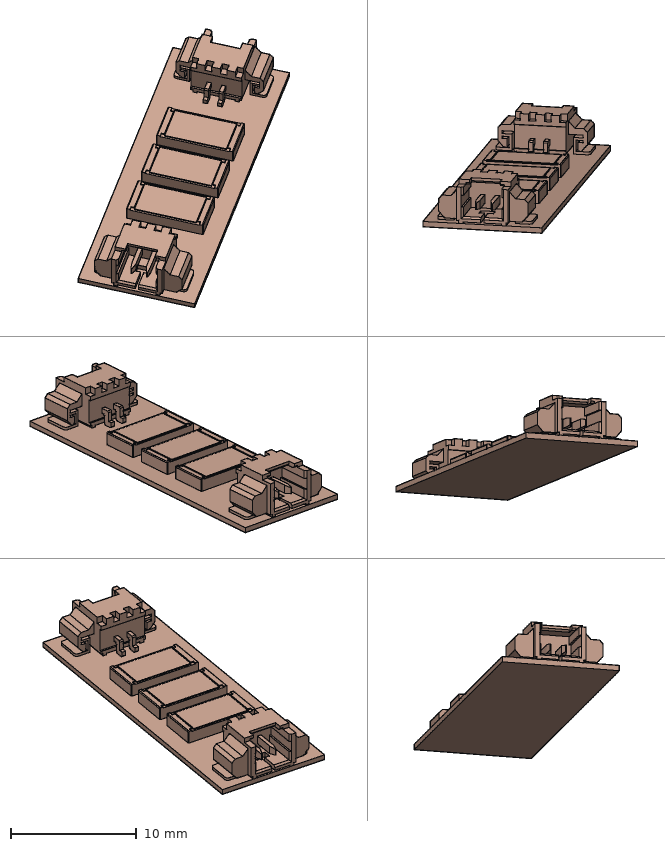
import cadquery as cq

BOARD_WIDTH = 9.65
BOARD_LENGTH = 26.3
BOARD_THICKNESS = 0.45

CHIP_LENGTH = 6.35
CHIP_WIDTH = 3.2
CHIP_HEIGHT = 1.08
CHIP_LEDGE_DEPTH = 0.08
CHIP_END_CHAMFER = 0.08
CHIP_CORNER_CHAMFER = 0.05
CHIP_CAP_LENGTH = 0.32
CHIP_CAP_TONGUE_WIDTH = 2.58
CHIP_WINDOW_LENGTH = 5.13
CHIP_WINDOW_WIDTH = 2.9
CHIP_WINDOW_GAP = 0.05
CHIP_COUNT = 3
CHIP_PITCH = 4.18
CHIP_ROW_X = 0.13
CHIP_ROW_Y = 0.05

HOUSING_HALF_WIDTH = 2.1
HOUSING_LENGTH = 4.2
HOUSING_HEIGHT = 3.37
FRONT_WALL_HEIGHT = 2.97
ROOF_SETBACK = 1.0
ROOF_NOTCH_SETBACK = 1.63
ROOF_NOTCH_HALF_WIDTH = 1.24
BACK_RECESS_DEPTH = 0.15
BACK_RECESS_BOTTOM = 0.47
BACK_RECESS_TOP = 2.45
BACK_NOTCH_LENGTH = 0.58
BACK_NOTCH_DEPTH = 0.55
CORNER_NOTCH_WIDTH = 0.5
PIN_NOTCH_WIDTH = 0.55
PIN_NOTCH_X = 0.63
UNDERSIDE_HALF_WIDTH = 1.58
UNDERSIDE_HEIGHT = 0.13
FOOT_HALF_WIDTH = 1.92
FOOT_HEIGHT = 0.24

CAVITY_HALF_WIDTH = 1.55
CAVITY_FLOOR = 0.55
CAVITY_DEPTH = 3.02
MOUTH_CHAMFER = 0.15
GROOVE_BOTTOM = 1.35
GROOVE_TOP = 2.3
FLOOR_SLOT_WIDTH = 0.25
FLOOR_SLOT_LENGTH = 1.5
FLOOR_HOLE_WIDTH = 1.15
FLOOR_HOLE_LENGTH = 0.65

EAR_FRONT = 0.45
EAR_BACK = 3.18
EAR_BOTTOM = 0.25
EAR_TOP = 2.13
EAR_HALF_SPAN = 3.63
EAR_UPPER_BEVEL = (0.3, 0.3)
EAR_LOWER_BEVEL = (0.47, 0.53)
EAR_ROOT_BEVEL = (0.53, 0.55)
EAR_POCKET_DEPTH = 2.37
EAR_POCKET_OUTER_X = 3.29
EAR_POCKET_STEP_X = 2.9
EAR_POCKET_STEP_HEIGHT = 0.97
EAR_POCKET_TOP = 1.6

TAB_THICKNESS = 0.24
TAB_OUTER_X = 3.85
TAB_INNER_X = 2.5
TAB_FRONT = 0.9
TAB_CORNER_RADIUS = 0.25
TAB_STRIP_THICKNESS = 0.2
TAB_STRIP_TOP = 1.37

PIN_X = 0.6
PIN_WIDTH = 0.35
PIN_BOTTOM = 0.95
PIN_TOP = 1.65
PIN_TAPER_START = 1.24
PIN_TIP_Y = 0.68
PIN_TIP_WIDTH = 0.08
PIN_TIP_HEIGHT = 0.53
PIN_TIP_OFFSET = 0.05
LEG_TOP = 1.35
LEG_UNDERSIDE = 0.9
LEG_INNER_Y = 4.36
LEG_OUTER_Y = 4.86
LEG_BEND_CHAMFER = 0.1
LEG_INNER_CHAMFER = 0.13
LEG_FOOT_END = 5.2
LEG_FOOT_HEIGHT = 0.47

FRONT_CONNECTOR_Y = -13.05
BACK_CONNECTOR_Y = 13.15

SIDES = (-1, 1)


def box(x_range, y_range, z_range):
    """Axis-aligned block between the given limits."""
    size = [high - low for low, high in (x_range, y_range, z_range)]
    corner = (x_range[0], y_range[0], z_range[0])
    return cq.Workplane("XY").box(*size, centered=False).translate(corner)


def centred_box(centre_x, width, y_range, z_range):
    """Axis-aligned block given by its middle and width along X."""
    return box((centre_x - width / 2, centre_x + width / 2), y_range, z_range)


def prism_along_y(points, y_start, y_end):
    """Outline in X and Z, extruded along Y."""
    return cq.Workplane("XZ", origin=(0, y_start, 0)).polyline(points).close().extrude(y_start - y_end)


def prism_along_x(points, centre_x, width):
    """Outline in Y and Z, extruded along X about its middle."""
    return cq.Workplane("YZ", origin=(centre_x, 0, 0)).polyline(points).close().extrude(width / 2, both=True)


def mirrored_pair(half):
    """A shape together with its mirror image on the other side of x = 0."""
    return half.union(half.mirror("YZ"))


def make_board():
    return centred_box(0, BOARD_WIDTH, (-BOARD_LENGTH / 2, BOARD_LENGTH / 2), (-BOARD_THICKNESS, 0))


def make_chip():
    """Low block with a raised window and a raised, T-shaped cap at each end."""
    ledge_height = CHIP_HEIGHT - CHIP_LEDGE_DEPTH
    half_length = CHIP_LENGTH / 2
    half_width = CHIP_WIDTH / 2
    raised = (0, CHIP_HEIGHT)
    base = centred_box(0, CHIP_LENGTH, (-half_width, half_width), (0, ledge_height))
    base = base.edges("|Z").chamfer(CHIP_CORNER_CHAMFER)
    window_y = (-CHIP_WINDOW_WIDTH / 2, CHIP_WINDOW_WIDTH / 2)
    window = centred_box(0, CHIP_WINDOW_LENGTH, window_y, raised)

    cap = box((half_length - CHIP_CAP_LENGTH, half_length), (-half_width, half_width), raised)
    cap = cap.edges("|Z and >X").chamfer(CHIP_CORNER_CHAMFER)
    cap = cap.edges(">X and >Z").chamfer(CHIP_END_CHAMFER)
    tongue_x = (CHIP_WINDOW_LENGTH / 2 + CHIP_WINDOW_GAP, half_length - CHIP_CAP_LENGTH)
    tongue_y = (-CHIP_CAP_TONGUE_WIDTH / 2, CHIP_CAP_TONGUE_WIDTH / 2)
    tongue = box(tongue_x, tongue_y, raised)
    return base.union(window).union(mirrored_pair(cap)).union(mirrored_pair(tongue))


def make_ears():
    """Flared blocks on both sides of the housing, each with a stepped pocket in its back face."""
    ear = prism_along_y(
        [
            (HOUSING_HALF_WIDTH, EAR_BOTTOM),
            (EAR_HALF_SPAN - EAR_LOWER_BEVEL[0], EAR_BOTTOM),
            (EAR_HALF_SPAN, EAR_BOTTOM + EAR_LOWER_BEVEL[1]),
            (EAR_HALF_SPAN, EAR_TOP - EAR_UPPER_BEVEL[1]),
            (EAR_HALF_SPAN - EAR_UPPER_BEVEL[0], EAR_TOP),
            (HOUSING_HALF_WIDTH + EAR_ROOT_BEVEL[0], EAR_TOP),
            (HOUSING_HALF_WIDTH, EAR_TOP + EAR_ROOT_BEVEL[1]),
        ],
        EAR_FRONT,
        EAR_BACK,
    )
    pocket = prism_along_y(
        [
            (HOUSING_HALF_WIDTH, 0),
            (EAR_POCKET_STEP_X, 0),
            (EAR_POCKET_STEP_X, EAR_POCKET_STEP_HEIGHT),
            (EAR_POCKET_OUTER_X, EAR_POCKET_STEP_HEIGHT),
            (EAR_POCKET_OUTER_X, EAR_POCKET_TOP),
            (HOUSING_HALF_WIDTH, EAR_POCKET_TOP),
        ],
        EAR_BACK - EAR_POCKET_DEPTH,
        EAR_BACK,
    )
    return mirrored_pair(ear.cut(pocket))


def make_solder_tabs():
    """Plates beside the feet whose inner edge bends up, and then outwards, into the ear pockets."""
    tab_range = (TAB_FRONT, EAR_BACK)
    plate = box((TAB_INNER_X, TAB_OUTER_X), tab_range, (0, TAB_THICKNESS))
    plate = plate.edges("|Z and >X").fillet(TAB_CORNER_RADIUS)
    strip = box((TAB_INNER_X, TAB_INNER_X + TAB_STRIP_THICKNESS), tab_range, (0, TAB_STRIP_TOP))
    hook_z = (TAB_STRIP_TOP - TAB_STRIP_THICKNESS, TAB_STRIP_TOP)
    hook = box((TAB_INNER_X, EAR_POCKET_OUTER_X), tab_range, hook_z)
    return mirrored_pair(plate.union(strip).union(hook))


def make_cavity():
    """Room for the plug: flared mouth, side grooves, slotted floor and a bevelled roof edge."""
    side = CAVITY_HALF_WIDTH
    wide = CAVITY_HALF_WIDTH + MOUTH_CHAMFER
    room = box((-side, side), (0, CAVITY_DEPTH), (CAVITY_FLOOR, FRONT_WALL_HEIGHT))
    grooves = box((-wide, wide), (0, CAVITY_DEPTH), (GROOVE_BOTTOM, GROOVE_TOP))

    mouth_bottom = CAVITY_FLOOR - MOUTH_CHAMFER
    mouth_height = FRONT_WALL_HEIGHT - mouth_bottom
    inner_height = FRONT_WALL_HEIGHT - CAVITY_FLOOR
    mouth = (
        cq.Workplane("XZ")
        .center(0, mouth_bottom + mouth_height / 2)
        .rect(2 * wide, mouth_height)
        .workplane(offset=-MOUTH_CHAMFER)
        .center(0, MOUTH_CHAMFER / 2)
        .rect(2 * side, inner_height)
        .loft(ruled=True)
    )

    slot = centred_box(0, FLOOR_SLOT_WIDTH, (0, FLOOR_SLOT_LENGTH), (0, CAVITY_FLOOR))
    hole_range = (FLOOR_SLOT_LENGTH, FLOOR_SLOT_LENGTH + FLOOR_HOLE_LENGTH)
    hole = centred_box(0, FLOOR_HOLE_WIDTH, hole_range, (0, CAVITY_FLOOR))
    cavity = room.union(grooves).union(mouth).union(slot).union(hole)

    for edge_y, half_width in ((ROOF_SETBACK, side), (ROOF_NOTCH_SETBACK, ROOF_NOTCH_HALF_WIDTH)):
        bevel = [
            (edge_y, FRONT_WALL_HEIGHT),
            (edge_y + MOUTH_CHAMFER, FRONT_WALL_HEIGHT),
            (edge_y, FRONT_WALL_HEIGHT + MOUTH_CHAMFER),
        ]
        cavity = cavity.union(prism_along_x(bevel, 0, 2 * half_width))
    return cavity


def cut_roof(housing):
    """Step the roof back from the mouth, and notch it further in the middle."""
    roof_range = (FRONT_WALL_HEIGHT, HOUSING_HEIGHT)
    step = centred_box(0, 2 * HOUSING_HALF_WIDTH, (0, ROOF_SETBACK), roof_range)
    notch = centred_box(0, 2 * ROOF_NOTCH_HALF_WIDTH, (0, ROOF_NOTCH_SETBACK), roof_range)
    return housing.cut(step).cut(notch)


def cut_back(housing):
    """Recess the back face and notch its top edge over the pins and at the corners."""
    back_recess = centred_box(
        0,
        2 * HOUSING_HALF_WIDTH,
        (HOUSING_LENGTH - BACK_RECESS_DEPTH, HOUSING_LENGTH),
        (BACK_RECESS_BOTTOM, BACK_RECESS_TOP),
    )
    housing = housing.cut(back_recess)
    corner_x = HOUSING_HALF_WIDTH - CORNER_NOTCH_WIDTH / 2
    notch_y = (HOUSING_LENGTH - BACK_NOTCH_LENGTH, HOUSING_LENGTH)
    notch_z = (HOUSING_HEIGHT - BACK_NOTCH_DEPTH, HOUSING_HEIGHT)
    for side in SIDES:
        for distance, width in ((corner_x, CORNER_NOTCH_WIDTH), (PIN_NOTCH_X, PIN_NOTCH_WIDTH)):
            housing = housing.cut(centred_box(side * distance, width, notch_y, notch_z))
    return housing


def cut_underside(housing):
    """Leave only two narrow feet under the housing."""
    full_length = (0, HOUSING_LENGTH)
    housing = housing.cut(centred_box(0, 2 * UNDERSIDE_HALF_WIDTH, full_length, (0, UNDERSIDE_HEIGHT)))
    outer_strip = box((FOOT_HALF_WIDTH, HOUSING_HALF_WIDTH), full_length, (0, FOOT_HEIGHT))
    return housing.cut(mirrored_pair(outer_strip))


def make_pin_pieces(side):
    """Contact blade with a tapered tip, and the bent solder leg behind it."""
    x = side * PIN_X
    middle_z = (PIN_BOTTOM + PIN_TOP) / 2
    blade = centred_box(x, PIN_WIDTH, (PIN_TAPER_START, CAVITY_DEPTH), (PIN_BOTTOM, PIN_TOP))
    tip = (
        cq.Workplane("XZ", origin=(x, PIN_TAPER_START, middle_z))
        .rect(PIN_WIDTH, PIN_TOP - PIN_BOTTOM)
        .workplane(offset=PIN_TAPER_START - PIN_TIP_Y)
        .center(side * PIN_TIP_OFFSET, 0)
        .rect(PIN_TIP_WIDTH, PIN_TIP_HEIGHT)
        .loft(ruled=True)
    )
    leg_start = HOUSING_LENGTH - BACK_RECESS_DEPTH
    leg_outline = [
        (leg_start, LEG_TOP),
        (LEG_OUTER_Y - LEG_BEND_CHAMFER, LEG_TOP),
        (LEG_OUTER_Y, LEG_TOP - LEG_BEND_CHAMFER),
        (LEG_OUTER_Y, LEG_FOOT_HEIGHT),
        (LEG_FOOT_END, LEG_FOOT_HEIGHT),
        (LEG_FOOT_END, LEG_BEND_CHAMFER),
        (LEG_FOOT_END - LEG_BEND_CHAMFER, 0),
        (LEG_INNER_Y + LEG_BEND_CHAMFER, 0),
        (LEG_INNER_Y, LEG_BEND_CHAMFER),
        (LEG_INNER_Y, LEG_UNDERSIDE - LEG_INNER_CHAMFER),
        (LEG_INNER_Y - LEG_INNER_CHAMFER, LEG_UNDERSIDE),
        (leg_start, LEG_UNDERSIDE),
    ]
    leg = prism_along_x(leg_outline, x, PIN_WIDTH)
    return blade.union(tip), leg


def make_connector():
    housing = centred_box(0, 2 * HOUSING_HALF_WIDTH, (0, HOUSING_LENGTH), (0, HOUSING_HEIGHT))
    housing = cut_underside(cut_back(cut_roof(housing))).cut(make_cavity())
    connector = housing.union(make_ears()).union(make_solder_tabs())
    for side in SIDES:
        for piece in make_pin_pieces(side):
            connector = connector.union(piece)
    return connector


board = make_board()

chip = make_chip()
chips = []
for index in range(CHIP_COUNT):
    chip_y = CHIP_ROW_Y + (index - (CHIP_COUNT - 1) / 2) * CHIP_PITCH
    chips.append(chip.translate((CHIP_ROW_X, chip_y, 0)))

connector = make_connector()
connectors = []
for mouth_y, turn in ((FRONT_CONNECTOR_Y, 0), (BACK_CONNECTOR_Y, 180)):
    turned = connector.rotate((0, 0, 0), (0, 0, 1), turn)
    connectors.append(turned.translate((0, mouth_y, 0)))

bodies = [board, *chips, *connectors]
result = cq.Compound.makeCompound([body.solids().val() for body in bodies])